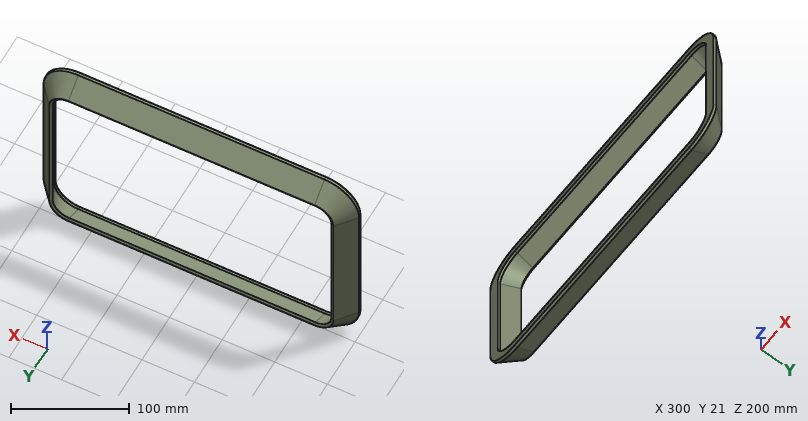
import cadquery as cq

length = 300.0
height = 200.0
depth = 21.0
corner_radius = 33.0

rim_depth = 3.0
back_edge_inset = 15.0

opening_height = 180.0
opening_inset = (height - opening_height) / 2
lip_depth = 2.7
throat_inset = 17.7
throat_depth = 19.5


def rounded_outline(inset, y):
    """Rounded rectangle at depth y, offset inward from the outer edge; corner centres stay fixed."""
    half_x = length / 2 - inset
    half_z = height / 2 - inset
    return (
        cq.Sketch()
        .rect(2 * half_x, 2 * half_z)
        .vertices()
        .fillet(corner_radius - inset)
        .moved(cq.Location(cq.Vector(0, 0, -y)))
    )


def stepped_block(stations):
    """Solid joining rounded outlines, given as (inset, depth) pairs from front to back, by straight walls."""
    outlines = [rounded_outline(inset, y) for inset, y in stations]
    return cq.Workplane("XZ").placeSketch(*outlines).loft(ruled=True)


body = stepped_block([(0, 0), (0, rim_depth), (back_edge_inset, depth)])
opening = stepped_block(
    [
        (opening_inset, 0),
        (opening_inset, lip_depth),
        (throat_inset, throat_depth),
        (back_edge_inset, depth),
    ]
)
result = body.cut(opening)